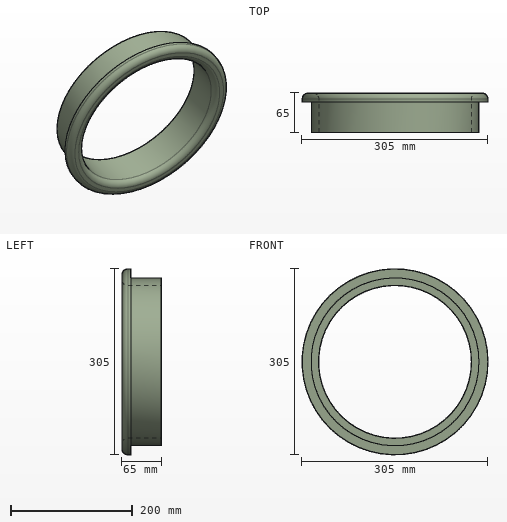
import cadquery as cq

flange_diameter = 305.0
sleeve_diameter = 275.0
bore_diameter = 250.0
total_length = 65.0
flange_thickness = 15.0
edge_radius = 10.0

sleeve_length = total_length - flange_thickness


def cylinder_along_y(diameter, start, length):
    """Solid cylinder on the Y axis, running from start towards +Y."""
    plane = cq.Workplane("XZ", origin=(0, start, 0))
    return plane.circle(diameter / 2).extrude(-length)


flange = cylinder_along_y(flange_diameter, sleeve_length, flange_thickness)
sleeve = cylinder_along_y(sleeve_diameter, 0, total_length)
bore = cylinder_along_y(bore_diameter, 0, total_length)
ring = flange.union(sleeve).cut(bore)

result = ring.faces(">Y").edges().fillet(edge_radius)